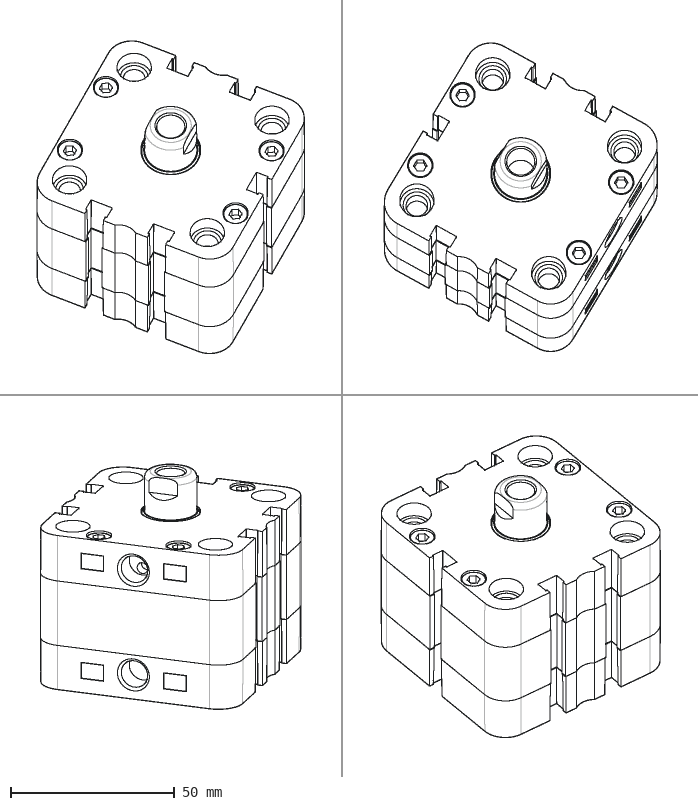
import cadquery as cq
import math

WIDTH = 65.5
CORNER_RADIUS = 8.0
BOTTOM_CAP_TOP = 14.4
BARREL_TOP = 35.4
BODY_TOP = 50.1
ROD_TOP = 63.0
CAP_DRAFT = 0.08

SLOT_OFFSET = 10.55
LIP_HEIGHT = 1.7
SLOT_OVERCUT = 0.65
BARREL_SLOT = {"mouth": 5.5, "width": 6.8, "depth": 5.2}
CAP_SLOT = {"mouth": 6.0, "width": 7.0, "depth": 5.45}

GROOVE_DIAMETER = 12.0
GROOVE_DEPTH = 1.1

MOUNT_OFFSET = 23.25
MOUNT_BORE_DIAMETER = 10.5
MOUNT_BORE_DEPTH = 5.0
MOUNT_CHAMFER_DIAMETER = 8.4
MOUNT_HOLE_DIAMETER = 6.6
MOUNT_HOLE_DEPTH = 11.8

SCREW_X = 28.0
SCREW_Y = 13.0
SCREW_RECESS_DIAMETER = 7.7
SCREW_HEAD_DIAMETER = 7.5
SCREW_HEAD_CHAMFER = 0.2
SCREW_RECESS_DEPTH = 0.5
SCREW_GAP_DEPTH = 1.3
HEX_ACROSS_FLATS = 3.5
HEX_DEPTH = 3.0

TOP_PORT_Z = 42.0
BOTTOM_PORT_Z = 7.9
PORT_DIAMETER = 8.6
PORT_CHAMFER_DIAMETER = 10.5
PORT_DEPTH = 8.0
PASSAGE_DIAMETER = 3.5
PASSAGE_DROP = 2.0
PASSAGE_DEPTH = 11.8

LABEL_OFFSET = 13.5
LABEL_WIDTH = 7.35
LABEL_DEPTH = 0.4
TOP_LABEL_Z = 42.8
TOP_LABEL_HEIGHT = 5.0
BOTTOM_LABEL_Z = 7.2
BOTTOM_LABEL_HEIGHT = 5.2

ROD_DIAMETER = 16.0
ROD_EDGE_RADIUS = 1.7
ROD_FLATS = 13.0
ROD_FLAT_LENGTH = 5.2
ROD_HOLE_DIAMETER = 8.6
ROD_HOLE_CHAMFER = 0.5
ROD_HOLE_DEPTH = 13.1
WIPER_RIM_DIAMETER = 18.35
WIPER_GROOVE_DIAMETER = 18.0
WIPER_LIP_BASE_DIAMETER = 17.7
WIPER_LIP_TOP_DIAMETER = 16.6
WIPER_GROOVE_DEPTH = 0.65


def slot_outline(slot, wall, along, turn):
    """T-slot cutter outline, open at a wall; turned about Z from the +Y wall."""
    half_mouth = slot["mouth"] / 2
    half_width = slot["width"] / 2
    lip = wall - LIP_HEIGHT
    floor = wall - slot["depth"]
    outside = wall + SLOT_OVERCUT
    return (
        cq.Sketch()
        .polygon([
            (along - half_mouth, outside),
            (along - half_mouth, lip),
            (along - half_width, lip),
            (along - half_width, floor),
            (along + half_width, floor),
            (along + half_width, lip),
            (along + half_mouth, lip),
            (along + half_mouth, outside),
            (along - half_mouth, outside),
        ])
        .moved(cq.Location(cq.Vector(), cq.Vector(0, 0, 1), turn))
    )


def section(slot):
    """Plan outline of a body, with its slots and grooves."""
    wall = WIDTH / 2
    groove_y = wall - GROOVE_DEPTH + GROOVE_DIAMETER / 2
    outline = cq.Sketch().rect(WIDTH, WIDTH).vertices().fillet(CORNER_RADIUS).reset()
    outline = outline.push([(0, groove_y), (0, -groove_y)])
    outline = outline.circle(GROOVE_DIAMETER / 2, mode="s").reset()
    for along in (-SLOT_OFFSET, SLOT_OFFSET):
        for turn in (0, 180):
            outline = outline.face(slot_outline(slot, wall, along, turn), mode="s")
    return outline.face(slot_outline(slot, wall, 0, -90), mode="s")


def cone_cut(large, small, z):
    """45 degree countersink going down from z."""
    depth = (large - small) / 2
    return cq.Workplane(cq.Solid.makeCone(small / 2, large / 2, depth)).translate((0, 0, z - depth))


def disc(diameter, z_low, z_high):
    return cq.Workplane().workplane(offset=z_low).circle(diameter / 2).extrude(z_high - z_low)


def drafted_cap(height):
    """Cap blank standing on z = 0, shrinking upward."""
    taper = math.degrees(math.atan(CAP_DRAFT / height))
    return cq.Workplane().placeSketch(section(CAP_SLOT)).extrude(height, taper=taper)


def port_cut(z):
    """Chamfered port going inward from the -X wall."""
    chamfer = (PORT_CHAMFER_DIAMETER - PORT_DIAMETER) / 2
    start = cq.Plane(origin=(-WIDTH / 2, 0, z), xDir=(0, 1, 0), normal=(1, 0, 0))
    bore = cq.Workplane(start).circle(PORT_DIAMETER / 2).extrude(PORT_DEPTH)
    mouth = cq.Solid.makeCone(
        PORT_CHAMFER_DIAMETER / 2,
        PORT_DIAMETER / 2,
        chamfer,
        pnt=start.origin,
        dir=start.zDir,
    )
    return bore.union(cq.Workplane(mouth))


def passage_cut():
    """Small passage running inward from the floor of the top port."""
    start = cq.Plane(
        origin=(PORT_DEPTH - WIDTH / 2, 0, TOP_PORT_Z - PASSAGE_DROP),
        xDir=(0, 1, 0),
        normal=(1, 0, 0),
    )
    return cq.Workplane(start).circle(PASSAGE_DIAMETER / 2).extrude(PASSAGE_DEPTH - PORT_DEPTH)


def label_cut(z, height):
    """Pair of shallow rectangles in the -X wall."""
    return (
        cq.Workplane()
        .pushPoints([(-WIDTH / 2, -LABEL_OFFSET), (-WIDTH / 2, LABEL_OFFSET)])
        .box(2 * (LABEL_DEPTH + CAP_DRAFT / 2), LABEL_WIDTH, height)
        .translate((0, 0, z))
    )


def mount_hole_cut():
    bore_floor = BODY_TOP - MOUNT_BORE_DEPTH
    bore = disc(MOUNT_BORE_DIAMETER, bore_floor, BODY_TOP)
    chamfer = cone_cut(MOUNT_CHAMFER_DIAMETER, MOUNT_HOLE_DIAMETER, bore_floor)
    hole = disc(MOUNT_HOLE_DIAMETER, BODY_TOP - MOUNT_HOLE_DEPTH, bore_floor)
    return bore.union(chamfer).union(hole)


def screw_cut():
    """Round recess above and narrowly around a screw head, with the head's hexagon socket."""
    floor = BODY_TOP - SCREW_RECESS_DEPTH
    gap_floor = BODY_TOP - SCREW_GAP_DEPTH
    head = disc(SCREW_HEAD_DIAMETER, gap_floor, floor).faces(">Z").edges().chamfer(SCREW_HEAD_CHAMFER)
    recess = disc(SCREW_RECESS_DIAMETER, gap_floor, BODY_TOP).cut(head)
    across_corners = HEX_ACROSS_FLATS / math.cos(math.pi / 6)
    socket = (
        cq.Workplane()
        .workplane(offset=floor - HEX_DEPTH)
        .transformed(rotate=(0, 0, 90))
        .polygon(6, across_corners)
        .extrude(HEX_DEPTH)
    )
    return recess.union(socket)


def rod_opening_cut():
    """Hole for the rod, with a groove around the tapered wiper lip that hugs it."""
    groove_floor = BODY_TOP - WIPER_GROOVE_DEPTH
    rim = cone_cut(WIPER_RIM_DIAMETER, WIPER_GROOVE_DIAMETER, BODY_TOP)
    lip = cq.Solid.makeCone(
        WIPER_LIP_BASE_DIAMETER / 2,
        WIPER_LIP_TOP_DIAMETER / 2,
        WIPER_GROOVE_DEPTH,
        pnt=cq.Vector(0, 0, groove_floor),
    )
    groove = disc(WIPER_GROOVE_DIAMETER, groove_floor, BODY_TOP).union(rim).cut(cq.Workplane(lip))
    return groove.union(disc(ROD_DIAMETER, BARREL_TOP, BODY_TOP))


def make_top_cap():
    cap = drafted_cap(BODY_TOP - BARREL_TOP).translate((0, 0, BARREL_TOP))
    for x_side in (-1, 1):
        for y_side in (-1, 1):
            cap = cap.cut(mount_hole_cut().translate((x_side * MOUNT_OFFSET, y_side * MOUNT_OFFSET, 0)))
            cap = cap.cut(screw_cut().translate((x_side * SCREW_X, y_side * SCREW_Y, 0)))
    cap = cap.cut(port_cut(TOP_PORT_Z)).cut(passage_cut())
    cap = cap.cut(label_cut(TOP_LABEL_Z, TOP_LABEL_HEIGHT))
    return cap.cut(rod_opening_cut())


def make_barrel():
    length = BARREL_TOP - BOTTOM_CAP_TOP
    return cq.Workplane().workplane(offset=BOTTOM_CAP_TOP).placeSketch(section(BARREL_SLOT)).extrude(length)


def make_bottom_cap():
    cap = drafted_cap(BOTTOM_CAP_TOP).mirror("XY").translate((0, 0, BOTTOM_CAP_TOP))
    cap = cap.cut(port_cut(BOTTOM_PORT_Z))
    return cap.cut(label_cut(BOTTOM_LABEL_Z, BOTTOM_LABEL_HEIGHT))


def flat_cut(side):
    """Wrench flat on one side of the rod, running out at 45 degrees below."""
    flat_x = side * ROD_FLATS / 2
    outer_x = side * ROD_DIAMETER
    flat_low = ROD_TOP - ROD_FLAT_LENGTH
    runout_low = flat_low - (ROD_DIAMETER - ROD_FLATS / 2)
    return (
        cq.Workplane("XZ")
        .polyline([(flat_x, ROD_TOP), (flat_x, flat_low), (outer_x, runout_low), (outer_x, ROD_TOP)])
        .close()
        .extrude(ROD_DIAMETER, both=True)
    )


def make_rod():
    rod = disc(ROD_DIAMETER, BARREL_TOP, ROD_TOP).faces(">Z").edges().fillet(ROD_EDGE_RADIUS)
    for side in (-1, 1):
        rod = rod.cut(flat_cut(side))
    rod = rod.cut(disc(ROD_HOLE_DIAMETER, ROD_TOP - ROD_HOLE_DEPTH, ROD_TOP))
    return rod.cut(cone_cut(ROD_HOLE_DIAMETER + 2 * ROD_HOLE_CHAMFER, ROD_HOLE_DIAMETER, ROD_TOP))


top_cap = make_top_cap()
barrel = make_barrel()
bottom_cap = make_bottom_cap()
rod = make_rod()

result = cq.Compound.makeCompound([
    top_cap.solids().val(),
    barrel.solids().val(),
    bottom_cap.solids().val(),
    rod.solids().val(),
])